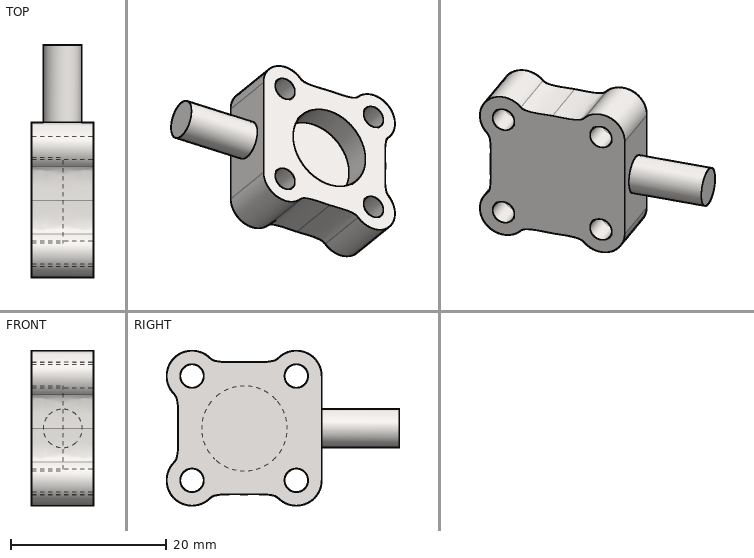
import cadquery as cq
import math

thickness = 8.0
block_width = 20.0
bolt_circle_diameter = 19.0
bolt_hole_diameter = 3.0
half_width = block_width / 2
lobe_offset = bolt_circle_diameter / 2 / math.sqrt(2)
lobe_radius = half_width - lobe_offset

waist_depth = 1.45
waist_level = half_width - waist_depth
waist_flat_half_length = 3.05
blend_angle = math.radians(44.0)

pocket_diameter = 11.0
pocket_depth = 4.0
stem_diameter = 5.0
stem_length = 10.0


def turned(point, quarter_turns):
    """Rotate a (y, z) point or direction about the block centre by right angles."""
    y, z = point
    for _ in range(quarter_turns):
        y, z = -z, y
    return (y, z)


def add_waist(outline, quarter_turns):
    """Add the recessed +Z side, running towards -Y and turned into place, as two mirrored curves."""
    junction = (
        lobe_offset - lobe_radius * math.cos(blend_angle),
        lobe_offset + lobe_radius * math.sin(blend_angle),
    )
    first_half = [junction, (waist_flat_half_length, waist_level), (0, waist_level)]
    second_half = [(-y, z) for y, z in reversed(first_half)]
    falling = (-math.sin(blend_angle), -math.cos(blend_angle))
    level = (-1, 0)
    rising = (-math.sin(blend_angle), math.cos(blend_angle))
    for points, directions in ((first_half, (falling, level)), (second_half, (level, rising))):
        outline = outline.spline(
            [turned(point, quarter_turns) for point in points[1:]],
            tangents=[turned(direction, quarter_turns) for direction in directions],
            includeCurrent=True,
        )
    return outline


def lobe_point(angle, quarter_turns):
    """Point on the (+Y, +Z) lobe at an angle from +Y towards +Z, turned into place."""
    y = lobe_offset + lobe_radius * math.cos(angle)
    z = lobe_offset + lobe_radius * math.sin(angle)
    return turned((y, z), quarter_turns)


def add_lobe(outline, start_angle, end_angle, quarter_turns):
    middle_angle = (start_angle + end_angle) / 2
    return outline.threePointArc(
        lobe_point(middle_angle, quarter_turns),
        lobe_point(end_angle, quarter_turns),
    )


def make_block():
    """Extrude the outline; the stem side stays flat and the other three sides are waisted."""
    lobe_start = blend_angle - math.pi / 2
    lobe_end = math.pi - blend_angle
    outline = cq.Workplane("YZ", origin=(-thickness / 2, 0, 0)).moveTo(*lobe_point(0, 0))
    outline = add_lobe(outline, 0, lobe_end, 0)
    outline = add_waist(outline, 0)
    for quarter_turns in (1, 2):
        outline = add_lobe(outline, lobe_start, lobe_end, quarter_turns)
        outline = add_waist(outline, quarter_turns)
    outline = add_lobe(outline, lobe_start, math.pi / 2, 3)
    return outline.close().extrude(thickness)


def make_stem():
    """Round stem from inside the block wall out along +Y, centred on the thickness."""
    wall_overlap = (half_width - pocket_diameter / 2) / 2
    return (
        cq.Workplane("XZ", origin=(0, half_width - wall_overlap, 0))
        .circle(stem_diameter / 2)
        .extrude(-(stem_length + wall_overlap))
    )


def make_bolt_holes():
    return (
        cq.Workplane("YZ")
        .rect(2 * lobe_offset, 2 * lobe_offset, forConstruction=True)
        .vertices()
        .circle(bolt_hole_diameter / 2)
        .extrude(thickness / 2, both=True)
    )


def make_pocket():
    return (
        cq.Workplane("YZ", origin=(-thickness / 2, 0, 0))
        .circle(pocket_diameter / 2)
        .extrude(pocket_depth)
    )


result = make_block().union(make_stem()).cut(make_bolt_holes()).cut(make_pocket())